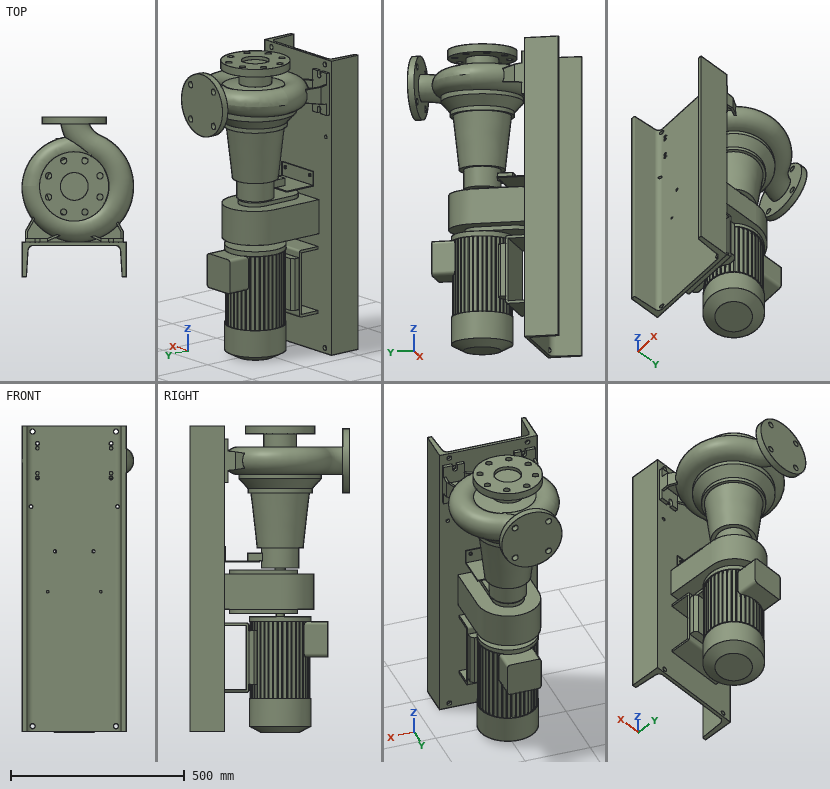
import cadquery as cq
import math


CHANNEL_WIDTH = 300
CHANNEL_DEPTH = 100
CHANNEL_LENGTH = 880
CHANNEL_TOP = -160
WEB_THICKNESS = 10
FLANGE_ROOT = 18
FLANGE_TIP = 12.5
ROOT_RADIUS = 15
TIP_RADIUS = 2
CORNER_HOLE_D = 14
CORNER_HOLE_X = 120
CORNER_HOLE_INSET = 16
SPARE_HOLE_D = 10
SPARE_HOLE_X = 124.5
SPARE_HOLE_Z = -232

DISCHARGE_FACE_Y = 200
DISCHARGE_Z = -100
DISCHARGE_FLANGE_D = 185
DISCHARGE_FLANGE_T = 20
DISCHARGE_BOLT_CIRCLE = 145
DISCHARGE_BOLTS = 4
SUCTION_FLANGE_D = 200
SUCTION_FLANGE_T = 23
SUCTION_BOLT_CIRCLE = 160
SUCTION_BOLTS = 8
SUCTION_BORE_D = 80
SUCTION_BORE_DEPTH = 10
SUCTION_NECK_D = 95
BOLT_HOLE_D = 18
VOLUTE_X = 10
VOLUTE_R = 121
TUBE_R = 40
TAIL_RING_R = 106
TAIL_TUBE_R = 34

COVER_R = 119
COVER_TOP = -68
COVER_RIM = -79
COVER_END = -151.5
COLLAR_R = 92.5
COLLAR_START = -180.5
COLLAR_END = -193
HOUSING_TOP_R = 84.5
HOUSING_BOTTOM_R = 66.5
HOUSING_END = -351
BEARING_R = 54
BEARING_END = -409
PUMP_SHAFT_R = 15

PAD_HEIGHT = 10
PAD_LENGTH = 126
PAD_INNER_X = 77
PAD_OUTER_X = 141
SLOT_WIDTH = 14
FOOT_HOLE_X = 106
FOOT_HOLE_D = 10
FOOT_HOLE_OFFSETS = (36, 50)
RIB_THICKNESS = 7
RIB_KNEE_Y = -129
RIB_TOP = (108, -70)
INNER_RIB_TOP = (40, -134)
RIB_HALF_AT_PAD = 30
RIB_HALF_AT_TOP = 17
FOOT_WEB_T = 10

SUPPORT_SHEET = 3
SUPPORT_WIDTH = 140
SUPPORT_TOP = -347
SUPPORT_BOTTOM = -391
SUPPORT_REACH_Y = -60
SUPPORT_HOLE_X = 55
SUPPORT_HOLE_Z = -361
SUPPORT_HOLE_D = 9
LUG_WIDTH = 40
LUG_BOTTOM_Y = -94
LUG_INNER_Y = -49
LUG_HEIGHT = 22

GUARD_TOP = -414
GUARD_LENGTH = 126
GUARD_PLATE_T = 12
GUARD_R = 94
GUARD_Y = 3
GUARD_PLATE_R = 47.5
GUARD_PLATE_LOW_Y = -99
GUARD_HOLE_X = 76.5
GUARD_HOLE_D = 7
GUARD_HOLE_DEPTH = 15

MOTOR_R = 89
MOTOR_TOP = -548.5
MOTOR_FLANGE_T = 15
FIN_R = 86.5
FIN_ROOT_R = 78
FIN_COUNT = 40
FIN_GROOVE_WIDTH = 3.5
FAN_COVER_TOP = -785
FAN_CONE_TOP = -864.5
MOTOR_BOTTOM = -883
FAN_CONE_R = 54
MOTOR_SHAFT_R = 12
BOX_TOP_Y = 137.5
BOX_BASE_Y = 62
BOX_HALF_WIDTH = 52
BOX_TOP = MOTOR_TOP - MOTOR_FLANGE_T
BOX_LENGTH = 102
BOX_CORNER_R = 10
MOTOR_FOOT_Y = -90
MOTOR_FOOT_SIDE_Y = -75
MOTOR_FOOT_INNER = (78, -66)
MOTOR_FOOT_HALF_WIDTH = 88
MOTOR_FOOT_TOP = -589
MOTOR_FOOT_LENGTH = 155

CRADLE_T = 8
CRADLE_TOP = -567
CRADLE_LENGTH = 200
CRADLE_WIDTH = 180
CRADLE_CORNER_R = 7


def cylinder(radius, z_top, z_bottom, x=0, y=0):
    """Vertical cylinder between two heights."""
    return cq.Workplane("XY", origin=(x, y, z_bottom)).circle(radius).extrude(z_top - z_bottom)


def block(x_range, y_range, z_range):
    """Axis-aligned box between opposite limits."""
    sizes = [high - low for low, high in (x_range, y_range, z_range)]
    lows = (x_range[0], y_range[0], z_range[0])
    return cq.Workplane("XY").box(*sizes, centered=False).translate(lows)


def bolt_angles(count):
    """Bolt directions straddling the centre lines, in degrees."""
    return [(k + 0.5) * 360 / count for k in range(count)]


def holes_along_y(points, diameter, y_low, y_high):
    """Cutters along Y at the given (x, z) points."""
    return (
        cq.Workplane("XZ", origin=(0, y_high, 0))
        .pushPoints(points)
        .circle(diameter / 2)
        .extrude(y_high - y_low)
    )


def mirrored_pair(x, z):
    return [(-x, z), (x, z)]


FOOT_HOLES = [
    point
    for offset in FOOT_HOLE_OFFSETS
    for side in (-1, 1)
    for point in mirrored_pair(FOOT_HOLE_X, DISCHARGE_Z + side * offset)
]
SUPPORT_HOLES = mirrored_pair(SUPPORT_HOLE_X, SUPPORT_HOLE_Z)
GUARD_HOLES = mirrored_pair(GUARD_HOLE_X, GUARD_TOP - GUARD_LENGTH / 2)


def make_channel():
    """U-shaped rolled channel with tapered flanges and its mounting holes."""
    half = CHANNEL_WIDTH / 2
    web_under = CHANNEL_TOP - WEB_THICKNESS
    tip_y = CHANNEL_TOP - CHANNEL_DEPTH
    profile = [
        (-half, CHANNEL_TOP),
        (half, CHANNEL_TOP),
        (half, tip_y),
        (half - FLANGE_TIP, tip_y),
        (half - FLANGE_ROOT, web_under),
        (-half + FLANGE_ROOT, web_under),
        (-half + FLANGE_TIP, tip_y),
        (-half, tip_y),
    ]
    channel = cq.Workplane("XY").polyline(profile).close().extrude(-CHANNEL_LENGTH)

    def inner_edges(x, y):
        reach = 1
        low = (-x - reach, y - reach, -CHANNEL_LENGTH - reach)
        high = (x + reach, y + reach, reach)
        return cq.selectors.BoxSelector(low, high)

    root_edges = inner_edges(half - FLANGE_ROOT, web_under)
    channel = channel.edges("|Z").edges(root_edges).fillet(ROOT_RADIUS)
    tip_edges = inner_edges(half - FLANGE_TIP, tip_y)
    channel = channel.edges("|Z").edges(tip_edges).fillet(TIP_RADIUS)

    corner_holes = [
        point
        for z in (-CORNER_HOLE_INSET, CORNER_HOLE_INSET - CHANNEL_LENGTH)
        for point in mirrored_pair(CORNER_HOLE_X, z)
    ]
    hole_groups = (
        (corner_holes, CORNER_HOLE_D),
        (mirrored_pair(SPARE_HOLE_X, SPARE_HOLE_Z), SPARE_HOLE_D),
        (FOOT_HOLES, FOOT_HOLE_D),
        (SUPPORT_HOLES, SUPPORT_HOLE_D),
        (GUARD_HOLES, GUARD_HOLE_D),
    )
    for points, diameter in hole_groups:
        channel = channel.cut(holes_along_y(points, diameter, tip_y, CHANNEL_TOP))
    return channel


def make_volute():
    """Ring-shaped casing whose tube swings outward into the discharge nozzle."""
    bend_r = (VOLUTE_X**2 + DISCHARGE_FACE_Y**2 - VOLUTE_R**2) / (2 * (VOLUTE_R + VOLUTE_X))
    join = math.atan2(DISCHARGE_FACE_Y, bend_r - VOLUTE_X)

    def ring_point(angle, radius=VOLUTE_R):
        return (VOLUTE_X + radius * math.cos(angle), radius * math.sin(angle))

    def bend_point(angle):
        x = bend_r + bend_r * math.cos(angle)
        return (x, DISCHARGE_FACE_Y + bend_r * math.sin(angle))

    def arc_path(start, middle, end):
        plane = cq.Workplane("XY", origin=(0, 0, DISCHARGE_Z))
        return plane.moveTo(*start).threePointArc(middle, end)

    def section(point, radius):
        """Tube section in an upright plane facing Y."""
        return cq.Workplane("XZ", origin=(*point, DISCHARGE_Z)).circle(radius)

    left = ring_point(math.pi)
    join_point = ring_point(join)
    ring_path = arc_path(left, ring_point((join - math.pi) / 2), join_point)
    ring = section(left, TUBE_R).sweep(ring_path)

    outlet_start = (0, DISCHARGE_FACE_Y)
    bend_path = arc_path(outlet_start, bend_point(math.pi + join / 2), join_point)
    outlet = section(outlet_start, TUBE_R).sweep(bend_path)

    tail_point = ring_point(join, TAIL_RING_R)
    tail_plane = cq.Plane(
        origin=(*tail_point, DISCHARGE_Z),
        xDir=(math.cos(join), math.sin(join), 0),
        normal=(math.sin(join), -math.cos(join), 0),
    )
    spiral_middle = ring_point((join + math.pi) / 2, (VOLUTE_R + TAIL_RING_R) / 2)
    spiral_path = arc_path(left, spiral_middle, tail_point)
    spiral_wires = [
        section(left, TUBE_R).wire().val(),
        cq.Workplane(tail_plane).circle(TAIL_TUBE_R).wire().val(),
    ]
    spiral = cq.Workplane(cq.Solid.sweep_multi(spiral_wires, spiral_path.wire().val()))
    volute = ring.union(outlet).union(spiral)

    reach = VOLUTE_R + 2 * TUBE_R
    below_channel = block(
        (-reach, reach),
        (CHANNEL_TOP - TUBE_R, CHANNEL_TOP),
        (DISCHARGE_Z - reach, DISCHARGE_Z + reach),
    )
    return volute.cut(below_channel)


def make_suction_nozzle():
    nozzle = cylinder(SUCTION_FLANGE_D / 2, 0, -SUCTION_FLANGE_T)
    nozzle = nozzle.union(cylinder(SUCTION_NECK_D / 2, 0, DISCHARGE_Z))
    nozzle = nozzle.cut(cylinder(SUCTION_BORE_D / 2, 0, -SUCTION_BORE_DEPTH))
    for angle in bolt_angles(SUCTION_BOLTS):
        x = SUCTION_BOLT_CIRCLE / 2 * math.cos(math.radians(angle))
        y = SUCTION_BOLT_CIRCLE / 2 * math.sin(math.radians(angle))
        nozzle = nozzle.cut(cylinder(BOLT_HOLE_D / 2, 0, -SUCTION_FLANGE_T, x, y))
    return nozzle


def make_discharge_flange():
    first_angle = bolt_angles(DISCHARGE_BOLTS)[0]
    face = cq.Workplane("XZ", origin=(0, DISCHARGE_FACE_Y, DISCHARGE_Z))
    flange = face.circle(DISCHARGE_FLANGE_D / 2).extrude(DISCHARGE_FLANGE_T)
    bolts = (
        face.polarArray(DISCHARGE_BOLT_CIRCLE / 2, first_angle, 360, DISCHARGE_BOLTS)
        .circle(BOLT_HOLE_D / 2)
        .extrude(DISCHARGE_FLANGE_T)
    )
    return flange.cut(bolts)


def make_bearing_housing():
    """Turned cover, collar, tapered housing, bearing end and shaft stub."""
    profile = [
        (0, COVER_TOP),
        (SUCTION_NECK_D / 2, COVER_TOP),
        (COVER_R, COVER_RIM),
        (COVER_R, COVER_END),
        (COLLAR_R, COLLAR_START),
        (COLLAR_R, COLLAR_END),
        (HOUSING_TOP_R, COLLAR_END),
        (HOUSING_BOTTOM_R, HOUSING_END),
        (BEARING_R, HOUSING_END),
        (BEARING_R, BEARING_END),
        (PUMP_SHAFT_R, BEARING_END),
        (PUMP_SHAFT_R, GUARD_TOP),
        (0, GUARD_TOP),
    ]
    return cq.Workplane("XZ").polyline(profile).close().revolve(360, (0, 0), (0, 1))


def make_feet():
    """Two slotted pads with tapered ribs, joined by one upright web."""
    pad_top = CHANNEL_TOP + PAD_HEIGHT
    z_low = DISCHARGE_Z - PAD_LENGTH / 2
    z_high = DISCHARGE_Z + PAD_LENGTH / 2
    knee = (PAD_OUTER_X, RIB_KNEE_Y)
    outer_rib = [
        (PAD_OUTER_X, CHANNEL_TOP),
        knee,
        RIB_TOP,
        (RIB_TOP[0] - RIB_THICKNESS, RIB_TOP[1]),
        (PAD_OUTER_X - RIB_THICKNESS, RIB_KNEE_Y),
        (PAD_OUTER_X - RIB_THICKNESS, CHANNEL_TOP),
    ]
    inner_rib = [
        (PAD_INNER_X, pad_top),
        INNER_RIB_TOP,
        (INNER_RIB_TOP[0], INNER_RIB_TOP[1] - RIB_THICKNESS),
        (PAD_INNER_X, pad_top - RIB_THICKNESS),
    ]
    taper = (
        cq.Workplane("YZ", origin=(-PAD_OUTER_X, 0, DISCHARGE_Z))
        .polyline([
            (CHANNEL_TOP, -RIB_HALF_AT_PAD),
            (CHANNEL_TOP, RIB_HALF_AT_PAD),
            (RIB_TOP[1], RIB_HALF_AT_TOP),
            (RIB_TOP[1], -RIB_HALF_AT_TOP),
        ])
        .close()
        .extrude(2 * PAD_OUTER_X)
    )

    web_half = [(PAD_OUTER_X, CHANNEL_TOP), knee, RIB_TOP]
    web_outline = web_half + [(-x, y) for x, y in reversed(web_half)]
    feet = (
        cq.Workplane("XY", origin=(0, 0, DISCHARGE_Z - FOOT_WEB_T / 2))
        .polyline(web_outline)
        .close()
        .extrude(FOOT_WEB_T)
    )
    slot_radius = SLOT_WIDTH / 2
    for side in (-1, 1):
        for outline in (outer_rib, inner_rib):
            points = [(side * x, y) for x, y in outline]
            rib = cq.Workplane("XY", origin=(0, 0, z_low)).polyline(points).close().extrude(PAD_LENGTH)
            feet = feet.union(rib.intersect(taper))
        pad_x = sorted((side * PAD_INNER_X, side * PAD_OUTER_X))
        feet = feet.union(block(pad_x, (CHANNEL_TOP, pad_top), (z_low, z_high)))
        slot_x = (side * FOOT_HOLE_X - slot_radius, side * FOOT_HOLE_X + slot_radius)
        for end in (-1, 1):
            slot_end = DISCHARGE_Z + end * max(FOOT_HOLE_OFFSETS)
            pad_end = DISCHARGE_Z + end * PAD_LENGTH / 2
            opening = block(slot_x, (CHANNEL_TOP, pad_top), sorted((slot_end, pad_end)))
            rounding = holes_along_y([(side * FOOT_HOLE_X, slot_end)], SLOT_WIDTH, CHANNEL_TOP, pad_top)
            feet = feet.cut(opening).cut(rounding)
    return feet


def make_support():
    """Sheet angle screwed to the channel, with a lug that carries the bearing end."""
    half = SUPPORT_WIDTH / 2
    shelf_top = SUPPORT_BOTTOM + SUPPORT_SHEET
    leg_y = (CHANNEL_TOP, CHANNEL_TOP + SUPPORT_SHEET)
    leg = block((-half, half), leg_y, (SUPPORT_BOTTOM, SUPPORT_TOP))
    leg = leg.cut(holes_along_y(SUPPORT_HOLES, SUPPORT_HOLE_D, *leg_y))
    shelf = block((-half, half), (CHANNEL_TOP, SUPPORT_REACH_Y), (SUPPORT_BOTTOM, shelf_top))
    lug = block(
        (-LUG_WIDTH / 2, LUG_WIDTH / 2),
        (LUG_BOTTOM_Y, LUG_INNER_Y),
        (shelf_top, shelf_top + LUG_HEIGHT),
    )
    return leg.union(shelf).union(lug)


def make_pump():
    pump = make_volute().union(make_suction_nozzle()).union(make_discharge_flange())
    return pump.union(make_bearing_housing()).union(make_feet()).union(make_support())


def make_coupling_guard():
    """Round-topped housing standing on the channel, with an obround plate on each end."""
    bottom = GUARD_TOP - GUARD_LENGTH
    plate_length = GUARD_Y - GUARD_PLATE_LOW_Y + 2 * GUARD_PLATE_R
    plates = (
        cq.Workplane("XY", origin=(0, (GUARD_Y + GUARD_PLATE_LOW_Y) / 2, bottom))
        .slot2D(plate_length, 2 * GUARD_PLATE_R, 90)
        .extrude(GUARD_LENGTH)
    )
    body_z = (bottom + GUARD_PLATE_T, GUARD_TOP - GUARD_PLATE_T)
    lower = block((-GUARD_R, GUARD_R), (CHANNEL_TOP, GUARD_Y), body_z)
    rounded = cylinder(GUARD_R, body_z[1], body_z[0], 0, GUARD_Y)
    guard = lower.union(rounded).union(plates)
    return guard.cut(holes_along_y(GUARD_HOLES, GUARD_HOLE_D, CHANNEL_TOP, CHANNEL_TOP + GUARD_HOLE_DEPTH))


def make_motor():
    """Finned motor with fan cover, terminal box, feet and shaft stub."""
    flange_bottom = MOTOR_TOP - MOTOR_FLANGE_T
    profile = [
        (0, GUARD_TOP - GUARD_LENGTH),
        (MOTOR_SHAFT_R, GUARD_TOP - GUARD_LENGTH),
        (MOTOR_SHAFT_R, MOTOR_TOP),
        (MOTOR_R, MOTOR_TOP),
        (MOTOR_R, flange_bottom),
        (FIN_R, flange_bottom),
        (FIN_R, FAN_COVER_TOP),
        (MOTOR_R, FAN_COVER_TOP),
        (MOTOR_R, FAN_CONE_TOP),
        (FAN_CONE_R, MOTOR_BOTTOM),
        (0, MOTOR_BOTTOM),
    ]
    motor = cq.Workplane("XZ").polyline(profile).close().revolve(360, (0, 0), (0, 1))
    half_pitch = 180 / FIN_COUNT
    grooves = (
        cq.Workplane("XY", origin=(0, 0, FAN_COVER_TOP))
        .polarArray((FIN_ROOT_R + MOTOR_R) / 2, half_pitch, 360, FIN_COUNT)
        .rect(MOTOR_R - FIN_ROOT_R, FIN_GROOVE_WIDTH)
        .extrude(flange_bottom - FAN_COVER_TOP)
    )
    motor = motor.cut(grooves)

    box_half = BOX_HALF_WIDTH
    box = block((-box_half, box_half), (BOX_BASE_Y, BOX_TOP_Y), (BOX_TOP - BOX_LENGTH, BOX_TOP))
    motor = motor.union(box.edges("|Y").fillet(BOX_CORNER_R))

    foot_half = [
        (MOTOR_FOOT_HALF_WIDTH, MOTOR_FOOT_Y),
        (MOTOR_FOOT_HALF_WIDTH, MOTOR_FOOT_SIDE_Y),
        MOTOR_FOOT_INNER,
    ]
    foot_outline = foot_half + [(-x, y) for x, y in reversed(foot_half)]
    foot = (
        cq.Workplane("XY", origin=(0, 0, MOTOR_FOOT_TOP))
        .polyline(foot_outline)
        .close()
        .extrude(-MOTOR_FOOT_LENGTH)
    )
    return motor.union(foot)


def make_cradle():
    """Bent plate that carries the motor feet above the channel."""
    half = CRADLE_WIDTH / 2
    bottom = CRADLE_TOP - CRADLE_LENGTH
    outside = block((-half, half), (CHANNEL_TOP, MOTOR_FOOT_Y), (bottom, CRADLE_TOP))
    outside = outside.edges("|X and >Y").fillet(CRADLE_CORNER_R)
    inside_y = (CHANNEL_TOP, MOTOR_FOOT_Y - CRADLE_T)
    return outside.cut(block((-half, half), inside_y, (bottom + CRADLE_T, CRADLE_TOP - CRADLE_T)))


channel = make_channel()
pump = make_pump()
coupling_guard = make_coupling_guard()
motor = make_motor()
cradle = make_cradle()

result = cq.Compound.makeCompound([
    channel.val(),
    pump.val(),
    coupling_guard.val(),
    motor.val(),
    cradle.val(),
])